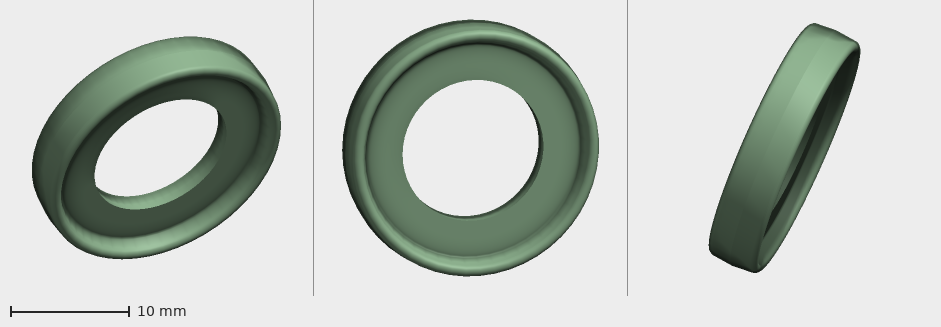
import cadquery as cq
import math

WIDTH = 4.5
CROWN_RADIUS = 10.84
CROWN_ANGLE = math.radians(5)
BORE_RADIUS = 6.1
WEB_THICKNESS = 1.7
RIM_ROUND = 0.5
RECESS_ANGLE = math.radians(22.5)
RECESS_CORNER = 0.22

round_x = WIDTH / 2 - RIM_ROUND
round_y = CROWN_RADIUS - round_x * math.tan(CROWN_ANGLE) - RIM_ROUND / math.cos(CROWN_ANGLE)

web_x = WEB_THICKNESS / 2
corner_x = web_x + RECESS_CORNER
wall_offset = (RIM_ROUND + RECESS_CORNER) / math.cos(RECESS_ANGLE)
corner_y = round_y - wall_offset - (round_x - corner_x) * math.tan(RECESS_ANGLE)


def on_circle(center_x, center_y, radius, angle):
    """Point on a circle, with the angle measured from the X axis."""
    return (center_x + radius * math.cos(angle), center_y + radius * math.sin(angle))


def half_ring():
    """Half of the ring on the +X side of the mid-plane."""
    tread_normal = math.pi / 2 - CROWN_ANGLE
    wall_normal = RECESS_ANGLE - math.pi / 2
    corner_start = wall_normal + math.pi
    corner_end = math.pi

    tread_end = on_circle(round_x, round_y, RIM_ROUND, tread_normal)
    rim_tip = on_circle(round_x, round_y, RIM_ROUND, 0)
    wall_start = on_circle(round_x, round_y, RIM_ROUND, wall_normal)
    wall_end = on_circle(corner_x, corner_y, RECESS_CORNER, corner_start)
    corner_middle = on_circle(corner_x, corner_y, RECESS_CORNER, (corner_start + corner_end) / 2)
    web_edge = on_circle(corner_x, corner_y, RECESS_CORNER, corner_end)

    profile = (
        cq.Workplane("XY")
        .moveTo(0, BORE_RADIUS)
        .lineTo(0, CROWN_RADIUS)
        .lineTo(*tread_end)
        .threePointArc(rim_tip, wall_start)
        .lineTo(*wall_end)
        .threePointArc(corner_middle, web_edge)
        .lineTo(web_x, BORE_RADIUS)
        .close()
    )
    return profile.revolve(360, (0, 0, 0), (1, 0, 0))


positive_half = half_ring()
result = positive_half.union(positive_half.mirror("YZ"))